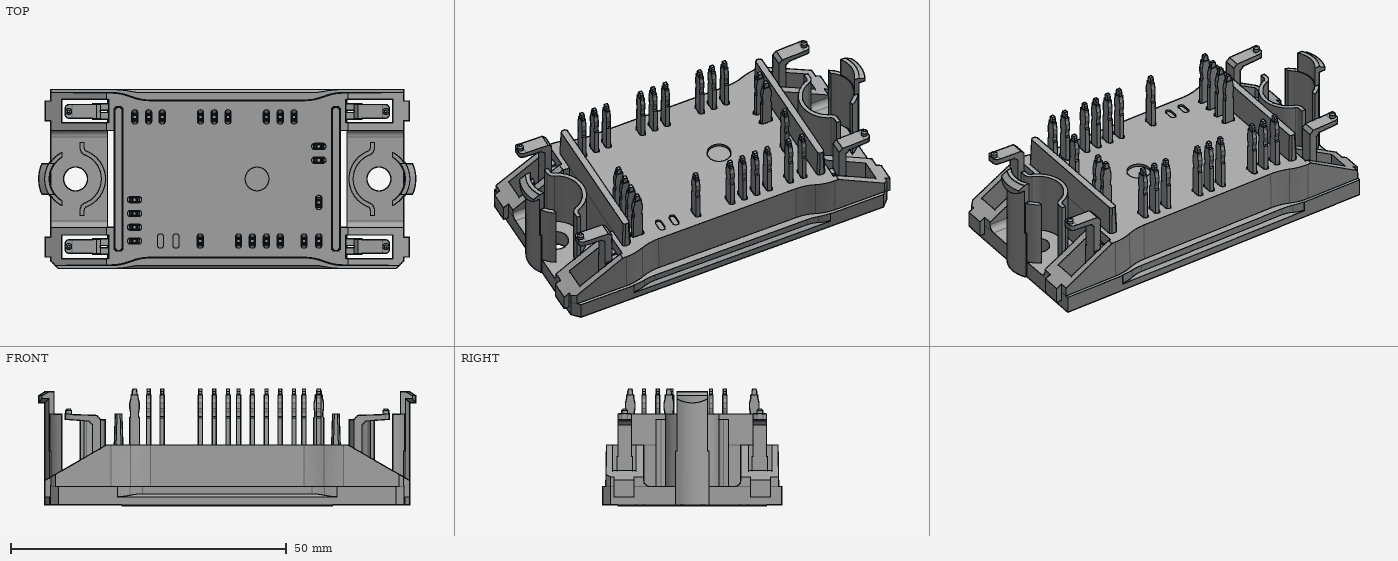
import cadquery as cq
import math

cut_margin = 1.0

base_bottom = 0.2
ledge_top = 3.55
body_top = 11.1
rib_top = 16.7
part_top = 21.23

housing_half_length = 32.0
housing_half_width = 16.25
corner_chamfer = 1.4
body_inset = 0.55
waist_half_width = 14.3
waist_start = 13.9
waist_end = 21.1
wall_draft = 1.0

plate_half_length = 19.1
plate_half_width = 13.5

end_face = 21.7
slot_inner = 20.5
slot_half_width = 8.75
pad_half_width = 8.8
pad_fillet = 1.15
slope_height_at_end = 5.25
slope_top_x = 21.85
window_outer = 30.0
window_deck_x = 21.4
window_near_y = 10.2
window_far_y = 14.45
tab_reach = 33.0
tab_bottom = 1.6
tab_near_y = 10.55
tab_far_y = 14.15

screw_x = 27.5
screw_diameter = 4.3
post_inner_radius = 4.8
post_outer_radius = 5.6
post_wing_end_x = 30.0
post_wing_top = rib_top - 0.05
post_top = 20.75
post_half_width = 2.8
post_foot_half_width = 3.05
post_foot_top = 10.0
hook_reach = 34.2
hook_bottom = 18.7
hook_corner_bottom = 19.45
hook_lip = 20.0
hook_crest_inset = 0.1
wall_radius = 5.05
wall_thickness = 0.75
omega_flare = 1.0
omega_leg_x = 26.3
omega_end_y = 6.6
omega_top = 15.65

arm_y = 12.25
arm_width = 2.5
arm_tip_x = 29.4
arm_post_outer = 24.4
arm_post_inner = 23.0
arm_top = 16.45
arm_thickness = 1.05
arm_rise = 0.3
arm_root = 1.0
arm_foot_width = 2.85
arm_foot_gap = 0.35
arm_bend = 0.7
arm_tip_fillet = 0.7
arm_step = 0.6
knob_chamfer = 0.3
arm_foot_top = 9.0
arm_knob_diameter = 1.1
arm_knob_x = 28.75
arm_knob_top = 17.6

rib_x = 19.7
rib_width = 1.6
rib_tip_width = 1.25
rib_length = 26.2
rib_corner_chamfer = 0.35

recess_half_length = 19.9
recess_waist = 15.4
recess_y = 15.65
recess_end_y = 16.15
recess_bottom = 1.6
recess_lip = 2.2

pin_thickness = 0.8
pin_tip_thickness = 0.6
pin_tip_start = 20.1
blade_half, neck_half, press_half = 0.92, 0.75, 0.88
shoulder_half, tip_half, point_half = 0.65, 0.45, 0.3
blade_top = 15.95
neck_bottom, neck_top = 16.2, 17.0
press_bottom, press_top = 17.7, 18.7
shoulder_bottom = 19.6
tip_shoulder, tip_bevel_start = 20.3, 20.8
pocket_length = 2.6
pocket_width = 1.15
pocket_depth = 0.4
pin_pitch = 2.5
row_y = 11.25
left_column_x = -16.8
left_column_count = 4
right_column_x = 16.6
lone_pin_y = -4.25
pair_start_y = 3.4
pair_count = 2

top_row = [-16.75, -14.25, -11.8, -4.85, -2.35, 0.15, 7.1, 9.6, 12.1]
bottom_row = [-4.9, 2.05, 4.55, 7.1, 9.6, 13.9, right_column_x]
empty_pockets = [(-12.1, -row_y), (-9.3, -row_y)]
pins_along_y = [(x, row_y) for x in top_row] + [(x, -row_y) for x in bottom_row]
pins_along_y.append((right_column_x, lone_pin_y))
pins_along_x = [(left_column_x, -row_y + i * pin_pitch) for i in range(left_column_count)]
pins_along_x += [(right_column_x, pair_start_y + i * pin_pitch) for i in range(pair_count)]

dimple_x = 5.4
dimple_diameter = 4.3
dimple_depth = 0.5

body_half_width = housing_half_width - body_inset
slope_rate = (body_top - slope_height_at_end) / (housing_half_length - slope_top_x)


def box(x0, x1, y0, y1, z0, z1):
    """Axis-aligned block between two corners."""
    return cq.Workplane("XY").box(x1 - x0, y1 - y0, z1 - z0, centered=False).translate((x0, y0, z0))


def mirror_x(solid):
    """The solid together with its mirror image at the opposite X end."""
    return solid.union(solid.mirror("YZ"))


def mirror_y(solid):
    """The solid together with its mirror image on the opposite Y side."""
    return solid.union(solid.mirror("XZ"))


def side_profile(points, y_middle, width):
    """Extrude an (x, z) outline symmetrically about a given y."""
    blank = cq.Workplane("XZ").polyline(points).close().extrude(width / 2, both=True)
    return blank.translate((0, y_middle, 0))


def s_curve_points(x_from, y_from, x_to, y_to):
    """Arc points of an S made of two equal arcs, both ends parallel to X."""
    half_run = (x_to - x_from) / 2
    half_rise = (y_to - y_from) / 2
    radius = (half_run ** 2 + half_rise ** 2) / (2 * abs(half_rise))
    sagitta = math.copysign(radius - math.sqrt(radius ** 2 - (half_run / 2) ** 2), half_rise)
    first = (x_from + half_run / 2, y_from + sagitta)
    middle = (x_from + half_run, y_from + half_rise)
    second = (x_to - half_run / 2, y_to - sagitta)
    return first, middle, second, (x_to, y_to)


def add_s_curve(sketch, x_from, y_from, x_to, y_to):
    """Continue a sketch with an S made of two equal arcs."""
    first, middle, second, end = s_curve_points(x_from, y_from, x_to, y_to)
    return sketch.threePointArc(first, middle).threePointArc(second, end)


def waisted_outline(z):
    """Upper housing outline: wide ends, narrower middle, chamfered -Y corners."""
    length = housing_half_length
    wide = body_half_width
    narrow = waist_half_width
    chamfer_x = length - corner_chamfer + body_inset
    chamfer_y = wide - corner_chamfer + body_inset
    sketch = cq.Workplane("XY").workplane(offset=z).moveTo(-chamfer_x, -wide).lineTo(-waist_end, -wide)
    sketch = add_s_curve(sketch, -waist_end, -wide, -waist_start, -narrow).lineTo(waist_start, -narrow)
    sketch = add_s_curve(sketch, waist_start, -narrow, waist_end, -wide).lineTo(chamfer_x, -wide)
    sketch = sketch.lineTo(length, -chamfer_y).lineTo(length, wide).lineTo(waist_end, wide)
    sketch = add_s_curve(sketch, waist_end, wide, waist_start, narrow).lineTo(-waist_start, narrow)
    sketch = add_s_curve(sketch, -waist_start, narrow, -waist_end, wide).lineTo(-length, wide)
    return sketch.lineTo(-length, -chamfer_y).close()


def make_base():
    """Lower housing flange with chamfered -Y corners."""
    base = box(-housing_half_length, housing_half_length,
               -housing_half_width, housing_half_width, base_bottom, ledge_top)
    return base.edges("|Z and <Y").chamfer(corner_chamfer)


def side_recess():
    """Cutter for the shallow waisted recess along the -Y side, with a floor that rises inwards."""
    sketch = (cq.Workplane("XY").workplane(offset=recess_bottom)
              .moveTo(-recess_half_length, -housing_half_width)
              .lineTo(-recess_half_length, -recess_end_y))
    sketch = add_s_curve(sketch, -recess_half_length, -recess_end_y, -recess_waist, -recess_y)
    sketch = sketch.lineTo(recess_waist, -recess_y)
    sketch = add_s_curve(sketch, recess_waist, -recess_y, recess_half_length, -recess_end_y)
    sketch = sketch.lineTo(recess_half_length, -housing_half_width).close()
    floor = (cq.Workplane("YZ")
             .polyline([(-housing_half_width, recess_bottom), (-recess_y, recess_bottom),
                        (-recess_y, recess_lip)]).close()
             .extrude(recess_half_length, both=True))
    return sketch.extrude(ledge_top - recess_bottom).cut(floor)


def end_slope():
    """Cutter above the sloping top of the -X end."""
    far_x = tab_reach + cut_margin
    far_z = body_top - slope_rate * (far_x - slope_top_x)
    over_z = body_top + cut_margin
    points = [(-slope_top_x, body_top), (-far_x, far_z), (-far_x, over_z), (-slope_top_x, over_z)]
    return side_profile(points, 0, 3 * housing_half_width)


def end_openings():
    """Cutters for the -X end: screw pad, through slot, corner windows, screw hole."""
    over_z = body_top + cut_margin
    pad = box(-tab_reach - cut_margin, -end_face, -pad_half_width, pad_half_width, ledge_top, over_z)
    pad = pad.edges("|X and <Z").fillet(pad_fillet)
    slot = box(-end_face, -slot_inner, -slot_half_width, slot_half_width, 0, over_z)
    window_profile = [(-window_outer, 0), (-end_face, 0), (-end_face, ledge_top),
                      (-window_deck_x, body_top), (-window_outer, body_top)]
    window = mirror_y(side_profile(window_profile, (window_near_y + window_far_y) / 2,
                                   window_far_y - window_near_y))
    hole = cq.Workplane("XY").center(-screw_x, 0).circle(screw_diameter / 2).extrude(body_top)
    return pad.union(slot).union(window).union(hole)


def make_housing():
    """Flange, waisted body and end tabs with all openings cut."""
    upper = waisted_outline(ledge_top).extrude(body_top - ledge_top, taper=wall_draft)
    tabs = mirror_y(box(-tab_reach, -window_outer, tab_near_y, tab_far_y, tab_bottom, body_top))
    housing = make_base().union(upper).union(mirror_x(tabs))
    housing = housing.cut(mirror_y(side_recess()))
    return housing.cut(mirror_x(end_slope())).cut(mirror_x(end_openings()))


def ring(inner, outer, bottom, top):
    """Hollow cylinder about the screw hole of the -X end."""
    blank = cq.Workplane("XY").workplane(offset=bottom).center(-screw_x, 0).circle(outer).circle(inner)
    return blank.extrude(top - bottom)


def make_post():
    """Curved outer wall with low, slightly recessed wings and a tall hooked centre."""
    reach = screw_x + post_outer_radius
    centre = ring(post_inner_radius, post_outer_radius, base_bottom, post_top)
    foot = centre.intersect(box(-reach, -screw_x, -post_foot_half_width, post_foot_half_width,
                                base_bottom, post_foot_top))
    tower = centre.intersect(box(-reach, -screw_x, -post_half_width, post_half_width,
                                 base_bottom, post_top))
    wings = ring(wall_radius - wall_thickness / 2, wall_radius + wall_thickness / 2, ledge_top, post_wing_top)
    wings = wings.intersect(box(-reach, -post_wing_end_x, -reach, reach, ledge_top, post_wing_top))
    return tower.union(foot).union(wings).union(make_hook())


def make_hook():
    """Snap lip that follows the curve of the post; its underside sags towards the middle."""
    lip_radius = hook_reach - screw_x
    crest_radius = post_outer_radius - hook_crest_inset
    profile = [(post_inner_radius, hook_bottom), (lip_radius, hook_bottom), (lip_radius, hook_lip),
               (crest_radius, post_top), (post_inner_radius, post_top)]
    lip = cq.Workplane("XZ").polyline(profile).close().revolve(360, (0, 0, 0), (0, 1, 0))
    lip = lip.translate((-screw_x, 0, 0))
    envelope = (cq.Workplane("YZ").moveTo(-post_half_width, post_top)
                .lineTo(-post_half_width, hook_corner_bottom)
                .threePointArc((0, hook_bottom), (post_half_width, hook_corner_bottom))
                .lineTo(post_half_width, post_top).close()
                .extrude(-hook_reach))
    inner_half = box(-screw_x, 0, -lip_radius, lip_radius, hook_bottom, post_top)
    return lip.intersect(envelope).cut(inner_half)


def omega_half(offset):
    """Points of one +Y flank, offset outwards from the wall's centre line."""
    big = wall_radius + offset
    small = omega_flare - offset
    centre_x = screw_x - omega_leg_x + omega_flare
    centre_y = math.sqrt((wall_radius + omega_flare) ** 2 - centre_x ** 2)
    angle = math.atan2(centre_y, centre_x)
    tangent = (big * math.cos(angle), big * math.sin(angle))
    bend = (centre_x - small * math.cos(angle / 2), centre_y - small * math.sin(angle / 2))
    leg = (centre_x - small, centre_y)
    return tangent, bend, leg


def make_omega_wall():
    """Inner wall: an arc about the screw hole whose ends flare into straight legs."""
    half = wall_thickness / 2
    out_tangent, out_bend, out_leg = omega_half(half)
    in_tangent, in_bend, in_leg = omega_half(-half)

    def flip(point):
        return point[0], -point[1]

    wall = (cq.Workplane("XY").workplane(offset=ledge_top)
            .moveTo(out_leg[0], omega_end_y).lineTo(*out_leg)
            .threePointArc(out_bend, out_tangent)
            .threePointArc((wall_radius + half, 0), flip(out_tangent))
            .threePointArc(flip(out_bend), flip(out_leg))
            .lineTo(out_leg[0], -omega_end_y).lineTo(in_leg[0], -omega_end_y).lineTo(*flip(in_leg))
            .threePointArc(flip(in_bend), flip(in_tangent))
            .threePointArc((wall_radius - half, 0), in_tangent)
            .threePointArc(in_bend, in_leg)
            .lineTo(in_leg[0], omega_end_y).close()
            .extrude(omega_top - ledge_top))
    return wall.translate((-screw_x, 0, 0))


def make_arm():
    """Bent spring arm standing in the +Y window, with a knob on its tip."""
    tip_top = arm_top + arm_rise
    under = arm_top - arm_thickness
    tip_bottom = tip_top - arm_thickness
    profile = [(-arm_post_inner, arm_root), (-arm_post_inner, arm_top - arm_bend),
               (-arm_post_inner - arm_bend, arm_top), (-arm_knob_x + arm_step, arm_top + arm_rise / 2),
               (-arm_tip_x, tip_top), (-arm_tip_x, tip_bottom),
               (-arm_post_outer - arm_bend, under), (-arm_post_outer, under - arm_bend),
               (-arm_post_outer, arm_root)]
    arm = side_profile(profile, arm_y, arm_width)
    arm = arm.edges("|Z and <X").fillet(arm_tip_fillet)
    foot = box(-arm_post_outer, -window_deck_x, arm_y - arm_foot_width / 2, arm_y + arm_foot_width / 2,
               arm_root, arm_foot_top)
    foot = foot.cut(box(-arm_post_inner, -window_deck_x, arm_y - arm_foot_gap / 2, arm_y + arm_foot_gap / 2,
                        arm_root, arm_foot_top))
    knob = (cq.Workplane("XY").workplane(offset=arm_top).center(-arm_knob_x, arm_y)
            .circle(arm_knob_diameter / 2).extrude(arm_knob_top - arm_top)
            .faces(">Z").chamfer(knob_chamfer))
    return arm.union(foot).union(knob)


def make_rib():
    """Long drafted rib across the deck beside the -X end."""
    height = rib_top - body_top
    draft = math.degrees(math.atan((rib_width - rib_tip_width) / 2 / height))
    rib = (cq.Workplane("XY").workplane(offset=body_top).rect(rib_width, rib_length)
           .extrude(height, taper=draft))
    rib = rib.edges("not(|X or |Y)").chamfer(rib_corner_chamfer)
    return rib.translate((-rib_x, 0, 0))


def make_pin():
    """Press-fit pin with its broad side along X, standing at the origin."""
    right_side = [(blade_half, body_top - pocket_depth), (blade_half, blade_top),
                  (neck_half, neck_bottom), (neck_half, neck_top),
                  (press_half, press_bottom), (press_half, press_top),
                  (shoulder_half, shoulder_bottom), (shoulder_half, pin_tip_start),
                  (tip_half, tip_shoulder), (tip_half, tip_bevel_start), (point_half, part_top)]
    left_side = [(-x, z) for x, z in reversed(right_side)]
    blade = side_profile(right_side + left_side, 0, pin_thickness)
    shave = mirror_y(box(-blade_half, blade_half, pin_tip_thickness / 2, pin_thickness,
                         pin_tip_start, part_top))
    return blade.cut(shave)


def cut_pockets(part, places, angle):
    """Sink shallow round-ended pockets into the deck."""
    pockets = (cq.Workplane("XY").workplane(offset=body_top - pocket_depth).pushPoints(places)
               .slot2D(pocket_length, pocket_width, angle).extrude(pocket_depth))
    return part.cut(pockets)


def add_pins(part, places, pin):
    """Stand a copy of the pin at each place."""
    for x, y in places:
        part = part.union(pin.translate((x, y, 0)))
    return part


def cut_dimple(part):
    """Sink the shallow round recess into the deck."""
    dimple = (cq.Workplane("XY").workplane(offset=body_top - dimple_depth).center(dimple_x, 0)
              .circle(dimple_diameter / 2).extrude(dimple_depth))
    return part.cut(dimple)


result = make_housing()
result = result.union(box(-plate_half_length, plate_half_length,
                          -plate_half_width, plate_half_width, 0, base_bottom))
end_parts = make_post().union(make_omega_wall()).union(mirror_y(make_arm())).union(make_rib())
result = result.union(mirror_x(end_parts))
result = cut_dimple(result)
result = cut_pockets(result, pins_along_y + empty_pockets, 90)
result = cut_pockets(result, pins_along_x, 0)
pin_along_x = make_pin()
pin_along_y = pin_along_x.rotate((0, 0, 0), (0, 0, 1), 90)
result = add_pins(result, pins_along_x, pin_along_x)
result = add_pins(result, pins_along_y, pin_along_y)